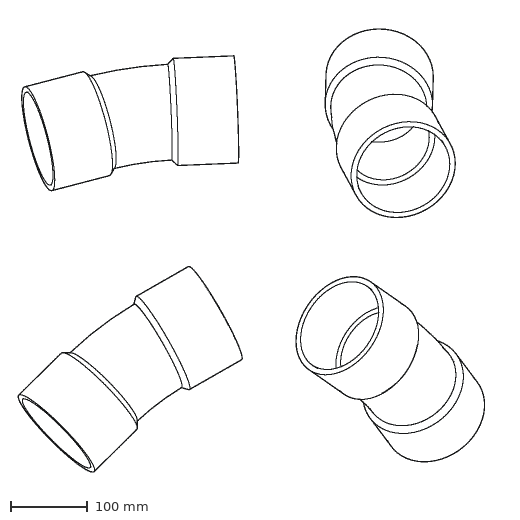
import cadquery as cq
import math

bend_angle = 15.0
centre_to_end = 132.0

pipe_diameter = 125.0
wall = 7.5
socket_diameter = pipe_diameter + 2 * wall
bore_diameter = pipe_diameter - 2 * wall

socket_depth = 79.0
shoulder_length = wall
socket_length = socket_depth + shoulder_length

bend_radius = (centre_to_end - socket_depth) / math.tan(math.radians(bend_angle / 2))


def revolve_about_y(points):
    """Turn a (radius, y) outline into a solid of revolution about the Y axis."""
    return cq.Workplane("XY").polyline(points).close().revolve(360, (0, 0, 0), (0, 1, 0))


def socket_outside():
    """Socket body with its open end at Y = 0 and its conical shoulder towards +Y."""
    return revolve_about_y([
        (0, 0),
        (socket_diameter / 2, 0),
        (socket_diameter / 2, socket_depth),
        (pipe_diameter / 2, socket_length),
        (0, socket_length),
    ])


def socket_inside():
    """Pipe seat, ending in a flat step where the bore of the curved pipe begins."""
    return revolve_about_y([
        (0, 0),
        (pipe_diameter / 2, 0),
        (pipe_diameter / 2, socket_depth),
        (0, socket_depth),
    ])


def curved_rod(diameter):
    """Round bar bent towards +X, starting at the seat of the first socket."""
    return (
        cq.Workplane("XZ", origin=(0, socket_depth, 0))
        .circle(diameter / 2)
        .revolve(bend_angle, (bend_radius, 1, 0), (bend_radius, 0, 0))
    )


def at_far_end(socket):
    """Carry a socket to the other end of the bend by mirroring and turning about the axis crossing."""
    crossing = (0, centre_to_end, 0)
    above_crossing = (0, centre_to_end, 1)
    return socket.mirror("XZ", crossing).rotate(crossing, above_crossing, -bend_angle)


def full_length(socket, diameter):
    """Join a socket shape at each end to a bent bar of the given diameter."""
    return socket.union(curved_rod(diameter)).union(at_far_end(socket))


outside = full_length(socket_outside(), pipe_diameter)
inside = full_length(socket_inside(), bore_diameter)

result = outside.cut(inside)